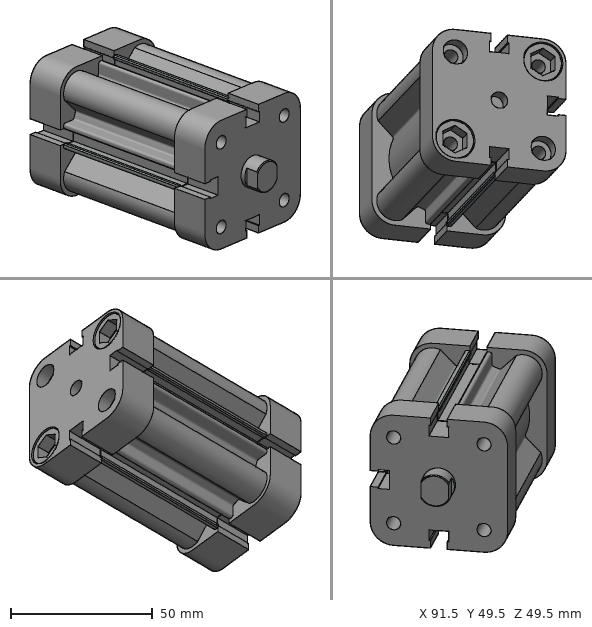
import cadquery as cq
import math

total_length = 91.5
body_length = 84.5
cap_length = 14.6
cap_width = 49.5
barrel_width = 46.0
screw_offset = 16.3

through_hole_diameter = 5.0
access_hole_diameter = 9.0
hex_across_flats = 9.0
socket_depth = 5.0
head_diameter = 13.9
head_gap = 0.3
head_gap_depth = 0.9
head_recess = 0.5
centre_hole_diameter = 6.0
centre_hole_depth = 5.0

cap_mouth_half = 3.0
cap_undercut_half = 3.6
cap_ledge_height = 21.9
cap_floor_height = 17.8
barrel_mouth_half = 2.7
barrel_undercut_half = 3.3
barrel_ledge_height = 21.6
barrel_floor_height = 18.1

tube_radius = 18.5
arm_half_width = 6.2
rail_half_width = 4.9
profile_radius = 0.9
mouth_chamfer = 0.5

rod_diameter = 12.0
flat_across = 10.0
flat_start = 1.8
rod_chamfer = 0.4

barrel_length = body_length - 2 * cap_length
front_cap_start = body_length - cap_length
barrel_half = barrel_width / 2
corner_radius = cap_width / 2 - screw_offset
column_radius = barrel_half - screw_offset
hex_across_corners = hex_across_flats / math.cos(math.pi / 6)

socket_corners = [(-screw_offset, screw_offset), (screw_offset, -screw_offset)]
access_corners = [(-screw_offset, -screw_offset), (screw_offset, screw_offset)]
corners = socket_corners + access_corners

slot_angles = [0, 90, 180]
arm_angles = [45, 135, 225, 315]

column_distance = math.hypot(screw_offset, screw_offset)
flank_end = column_distance + math.sqrt(column_radius**2 - arm_half_width**2)
valley_distance = math.sqrt(tube_radius**2 - arm_half_width**2)
rail_foot_height = math.sqrt(tube_radius**2 - rail_half_width**2)


def profile_plane(x):
    """Sketch plane across the stroke axis at x, with local axes Y and Z."""
    return cq.Workplane("YZ", origin=(x, 0, 0))


def turned(shape, angle):
    """The shape turned about the stroke axis, from the top side to another side."""
    return shape.rotate((0, 0, 0), (1, 0, 0), angle)


def cut_slots(body, x, length, mouth_half, undercut_half, ledge_height, floor_height):
    """Cut the undercut sensor slots along three sides of a body."""
    slot = (
        profile_plane(x)
        .moveTo(-undercut_half, floor_height)
        .lineTo(-undercut_half, ledge_height)
        .lineTo(-mouth_half, ledge_height)
        .lineTo(-mouth_half, cap_width)
        .lineTo(mouth_half, cap_width)
        .lineTo(mouth_half, ledge_height)
        .lineTo(undercut_half, ledge_height)
        .lineTo(undercut_half, floor_height)
        .close()
        .extrude(length)
    )
    for angle in slot_angles:
        body = body.cut(turned(slot, angle))
    return body


def drill(body, x, points, diameter, depth):
    """Drill equal holes in the +X direction, starting at x."""
    return body.cut(profile_plane(x).pushPoints(points).circle(diameter / 2).extrude(depth))


def make_cap_block(x):
    """Rounded square cap with the sensor slots and the corner through holes."""
    block = profile_plane(x).rect(cap_width, cap_width).extrude(cap_length)
    block = block.edges("|X").fillet(corner_radius)
    block = cut_slots(
        block, x, cap_length, cap_mouth_half, cap_undercut_half, cap_ledge_height, cap_floor_height
    )
    return drill(block, x, corners, through_hole_diameter, cap_length)


def make_rear_cap():
    """Cap with access holes, a centre hole and two recessed, ring-grooved heads with hexagon sockets."""
    cap = make_cap_block(0)
    cap = drill(cap, 0, access_corners, access_hole_diameter, socket_depth)
    cap = drill(cap, 0, [(0, 0)], centre_hole_diameter, centre_hole_depth)
    cap = drill(cap, 0, socket_corners, head_diameter + 2 * head_gap, head_recess)

    socket = turned(profile_plane(head_recess).polygon(6, hex_across_corners).extrude(socket_depth), 90)
    ring_groove = (
        profile_plane(head_recess)
        .circle(head_diameter / 2 + head_gap)
        .circle(head_diameter / 2)
        .extrude(head_gap_depth)
    )
    for y, z in socket_corners:
        cap = cap.cut(socket.translate((0, y, z)))
        cap = cap.cut(ring_groove.translate((0, y, z)))
    return cap


def make_front_cap():
    """Cap with the bearing bore for the piston rod."""
    cap = make_cap_block(front_cap_start)
    return drill(cap, front_cap_start, [(0, 0)], rod_diameter, cap_length)


def make_arm():
    """Upright arm with parallel flanks and a round outer end."""
    return (
        profile_plane(cap_length)
        .moveTo(-arm_half_width, 0)
        .lineTo(-arm_half_width, flank_end)
        .threePointArc((0, column_distance + column_radius), (arm_half_width, flank_end))
        .lineTo(arm_half_width, 0)
        .close()
        .extrude(barrel_length)
    )


def round_edge_pair(body, half_width, height, angle):
    """Round the two lengthwise edges at +/- half_width and the given height of a turned shape."""
    middle = cap_length + barrel_length / 2
    turn = math.radians(angle)
    for y in (-half_width, half_width):
        turned_y = y * math.cos(turn) - height * math.sin(turn)
        turned_z = y * math.sin(turn) + height * math.cos(turn)
        edge = cq.NearestToPointSelector((middle, turned_y, turned_z))
        body = body.edges("|X").edges(edge).fillet(profile_radius)
    return body


def make_mouth_chamfer():
    """Cutter for the 45 degree lead-in at the mouth of a slot."""
    return (
        profile_plane(cap_length)
        .moveTo(-barrel_mouth_half - mouth_chamfer, barrel_half)
        .lineTo(-barrel_mouth_half, barrel_half - mouth_chamfer)
        .lineTo(barrel_mouth_half, barrel_half - mouth_chamfer)
        .lineTo(barrel_mouth_half + mouth_chamfer, barrel_half)
        .close()
        .extrude(barrel_length)
    )


def make_barrel():
    """Round tube profile with four corner columns on arms and slotted rails on three sides."""
    plane = profile_plane(cap_length)
    barrel = plane.circle(tube_radius).extrude(barrel_length)

    arm = make_arm()
    for angle in arm_angles:
        barrel = barrel.union(turned(arm, angle))
    rails = plane.center(0, barrel_half / 2).rect(2 * rail_half_width, barrel_half).extrude(barrel_length)
    for angle in slot_angles:
        barrel = barrel.union(turned(rails, angle))

    for angle in arm_angles:
        barrel = round_edge_pair(barrel, arm_half_width, valley_distance, angle)
    for angle in slot_angles:
        barrel = round_edge_pair(barrel, rail_half_width, rail_foot_height, angle)
        barrel = round_edge_pair(barrel, rail_half_width, barrel_half, angle)

    barrel = cut_slots(
        barrel,
        cap_length,
        barrel_length,
        barrel_mouth_half,
        barrel_undercut_half,
        barrel_ledge_height,
        barrel_floor_height,
    )
    chamfer = make_mouth_chamfer()
    for angle in slot_angles:
        barrel = barrel.cut(turned(chamfer, angle))
    return drill(barrel, cap_length, corners, through_hole_diameter, barrel_length)


def make_piston_rod():
    """Rod through the front cap, with two spanner flats and a chamfered end."""
    length = total_length - front_cap_start
    rod = profile_plane(front_cap_start).circle(rod_diameter / 2).extrude(length)
    rod = rod.faces(">X").chamfer(rod_chamfer)
    flats_x = body_length + flat_start
    for side in (-1, 1):
        waste = (
            profile_plane(flats_x)
            .center(side * (flat_across + rod_diameter) / 2, 0)
            .rect(rod_diameter, rod_diameter)
            .extrude(total_length - flats_x)
        )
        rod = rod.cut(waste)
    return rod


rear_cap = make_rear_cap()
barrel = make_barrel()
front_cap = make_front_cap()
piston_rod = make_piston_rod()

result = cq.Compound.makeCompound([rear_cap.val(), barrel.val(), front_cap.val(), piston_rod.val()])